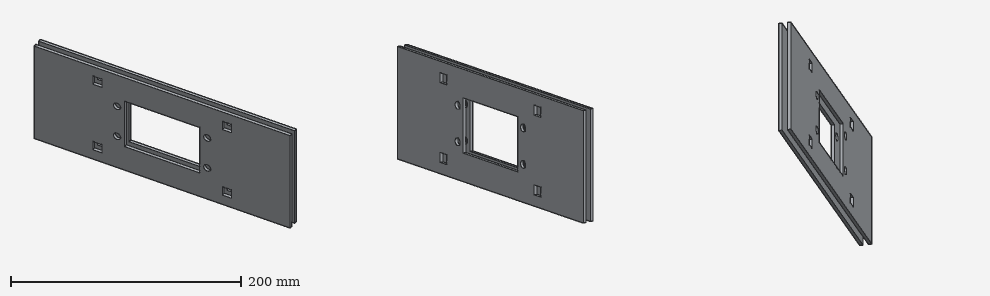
import cadquery as cq

plate_length = 256.0
plate_height = 102.0
plate_thickness = 3.0
stack_depth = 11.0
plate_pitch = stack_depth - plate_thickness

window_length = 75.0
window_height = 50.0

round_hole_diameter = 7.0
round_hole_spacing_x = 90.0
round_hole_spacing_z = 33.0

square_hole_side = 9.0
square_hole_spacing_x = 129.5
square_hole_spacing_z = 72.2


def make_plate(center_y):
    """Upright plate with its window and two four-hole patterns, all cut through."""
    plate = cq.Workplane("XZ").box(plate_length, plate_height, plate_thickness)
    front = plate.faces("<Y").workplane(centerOption="CenterOfBoundBox")
    plate = front.rect(window_length, window_height).cutThruAll()

    front = plate.faces("<Y").workplane(centerOption="CenterOfBoundBox")
    plate = front.rarray(round_hole_spacing_x, round_hole_spacing_z, 2, 2).hole(round_hole_diameter)

    front = plate.faces("<Y").workplane(centerOption="CenterOfBoundBox")
    square_centers = front.rarray(square_hole_spacing_x, square_hole_spacing_z, 2, 2)
    plate = square_centers.rect(square_hole_side, square_hole_side).cutThruAll()
    return plate.translate((0, center_y, 0))


plates = [make_plate(side * plate_pitch / 2) for side in (-1, 1)]

result = cq.Compound.makeCompound([plate.val() for plate in plates])